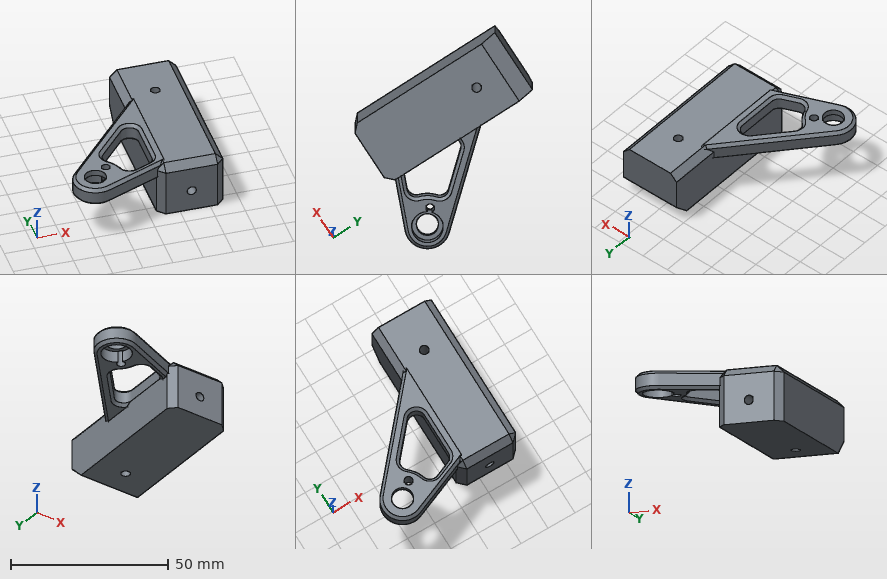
import cadquery as cq
import math

BLOCK_WIDTH = 22.05
BLOCK_LENGTH = 54.5
BLOCK_HEIGHT = 18.5
BLOCK_CHAMFER = 2.5
HEEL_CHAMFER = 5.0
BLOCK_HOLE_DIAMETER = 3.0
CROSS_HOLE_Y = 40.5
FRONT_HOLE_Z = 7.4
FRONT_HOLE_DEPTH = 12.05

ARM_THICKNESS = 6.0
ARM_CHAMFER = 1.0
ARM_EMBED = 3.1
BOSS_RADIUS = 7.25
BOSS_X = -31.55
BOSS_Y = 1.45
UPPER_EDGE_ANGLE = math.radians(49.0)
LOWER_EDGE_ANGLE = math.radians(22.5)

LIP_HOLE_DIAMETER = 7.0
LIP_THICKNESS = 2.0
BORE_DIAMETER = 10.0
SIDE_HOLE_DIAMETER = 2.8
SIDE_HOLE_X = BOSS_X + 4.65
SIDE_HOLE_Y = BOSS_Y + 4.05

UPPER_RAIL_WIDTH = 4.0
LOWER_RAIL_WIDTH = 3.0
WINDOW_BOSS_RADIUS = 10.0
WINDOW_CORNER_RADIUS = 3.0

BLOCK_SIDE_X = -BLOCK_WIDTH / 2
ARM_END_X = BLOCK_SIDE_X + ARM_EMBED
ARM_BOTTOM = BLOCK_HEIGHT - ARM_THICKNESS


def upper_edge_y(x, radius):
    """Y at x on the upper line that is tangent to a circle of this radius about the boss."""
    return BOSS_Y + (x - BOSS_X) * math.tan(UPPER_EDGE_ANGLE) + radius / math.cos(UPPER_EDGE_ANGLE)


def lower_edge_y(x, radius):
    """Y at x on the lower line that is tangent to a circle of this radius about the boss."""
    return BOSS_Y + (x - BOSS_X) * math.tan(LOWER_EDGE_ANGLE) - radius / math.cos(LOWER_EDGE_ANGLE)


def boss_point(angle):
    """Point on the rim of the boss at this angle from +X."""
    return (BOSS_X + BOSS_RADIUS * math.cos(angle), BOSS_Y + BOSS_RADIUS * math.sin(angle))


def arm_cylinder(x, y, diameter, height=ARM_THICKNESS):
    """Upright cylinder that starts at the underside of the arm."""
    return cq.Workplane("XY", origin=(x, y, ARM_BOTTOM)).circle(diameter / 2).extrude(height)


def make_window():
    """Triangle inside the arm's edges, with its boss corner cut off by an arc about the boss."""
    upper_radius = BOSS_RADIUS - UPPER_RAIL_WIDTH
    lower_radius = BOSS_RADIUS - LOWER_RAIL_WIDTH
    triangle = (
        cq.Workplane("XY", origin=(0, 0, ARM_BOTTOM))
        .moveTo(BLOCK_SIDE_X, upper_edge_y(BLOCK_SIDE_X, upper_radius))
        .lineTo(BOSS_X, upper_edge_y(BOSS_X, upper_radius))
        .lineTo(BOSS_X, lower_edge_y(BOSS_X, lower_radius))
        .lineTo(BLOCK_SIDE_X, lower_edge_y(BLOCK_SIDE_X, lower_radius))
        .close()
        .extrude(ARM_THICKNESS)
    )
    window = triangle.cut(arm_cylinder(BOSS_X, BOSS_Y, 2 * WINDOW_BOSS_RADIUS))
    return window.edges("|Z").fillet(WINDOW_CORNER_RADIUS)


def make_arm():
    overrun_x = ARM_END_X + 2 * ARM_CHAMFER
    upper_normal = UPPER_EDGE_ANGLE + math.pi / 2
    lower_normal = LOWER_EDGE_ANGLE - math.pi / 2
    boss_middle = (upper_normal + lower_normal) / 2 + math.pi
    arm = (
        cq.Workplane("XY", origin=(0, 0, ARM_BOTTOM))
        .moveTo(overrun_x, upper_edge_y(overrun_x, BOSS_RADIUS))
        .lineTo(*boss_point(upper_normal))
        .threePointArc(boss_point(boss_middle), boss_point(lower_normal))
        .lineTo(overrun_x, lower_edge_y(overrun_x, BOSS_RADIUS))
        .close()
        .extrude(ARM_THICKNESS)
        .cut(make_window())
        .faces("<Z or >Z").edges().chamfer(ARM_CHAMFER)
    )

    overrun = (
        cq.Workplane("XY", origin=(ARM_END_X, 0, 0))
        .box(BLOCK_WIDTH, 2 * BLOCK_LENGTH, BLOCK_HEIGHT, centered=(False, True, False))
    )
    return (
        arm.cut(overrun)
        .cut(arm_cylinder(BOSS_X, BOSS_Y, LIP_HOLE_DIAMETER))
        .cut(arm_cylinder(BOSS_X, BOSS_Y, BORE_DIAMETER, ARM_THICKNESS - LIP_THICKNESS))
        .cut(arm_cylinder(SIDE_HOLE_X, SIDE_HOLE_Y, SIDE_HOLE_DIAMETER))
    )


def make_block(arm):
    block = (
        cq.Workplane("XY")
        .box(BLOCK_WIDTH, BLOCK_LENGTH, BLOCK_HEIGHT, centered=(True, False, False))
        .edges("(|Z and <Y) or (>Z and (not >Y))").chamfer(BLOCK_CHAMFER)
        .edges(">Y and <Z").chamfer(HEEL_CHAMFER)
    )
    cross_hole = (
        cq.Workplane("XY", origin=(0, CROSS_HOLE_Y, 0))
        .circle(BLOCK_HOLE_DIAMETER / 2).extrude(BLOCK_HEIGHT)
    )
    front_hole = (
        cq.Workplane("XZ", origin=(0, 0, FRONT_HOLE_Z))
        .circle(BLOCK_HOLE_DIAMETER / 2).extrude(-FRONT_HOLE_DEPTH)
    )
    return block.cut(cross_hole).cut(front_hole).cut(arm)


arm = make_arm()
block = make_block(arm)

result = cq.Compound.makeCompound([block.solids().val(), arm.solids().val()])